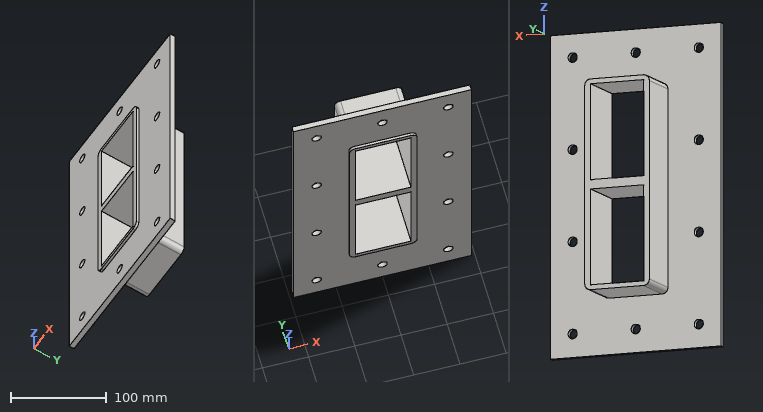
import cadquery as cq

plate_width = 192.5
plate_height = 344.0
plate_thickness = 6.2

duct_depth = 60.0
duct_front_lip = 3.0
window_width = 60.0
window_height = 101.8
side_wall = 6.5
end_wall = 5.0
divider = 10.0
duct_corner_radius = 6.5
duct_width = window_width + 2 * side_wall
duct_height = 2 * window_height + divider + 2 * end_wall
window_offset = (window_height + divider) / 2

hole_diameter = 10.0
hole_edge_margin = 25.0
hole_x = plate_width / 2 - hole_edge_margin
hole_z = plate_height / 2 - hole_edge_margin
hole_row_pitch = 2 * hole_z / 3


def block(width, height, front, depth):
    """Box centred in X and Z, running from y = front toward +Y."""
    return cq.Workplane("XY").box(width, depth, height).translate((0, front + depth / 2, 0))


def mounting_holes():
    """Three holes along the top and bottom edges, two more on each side."""
    points = []
    for row in range(4):
        z = -hole_z + row * hole_row_pitch
        points += [(-hole_x, z), (hole_x, z)]
    points += [(0, -hole_z), (0, hole_z)]
    cutter = cq.Workplane("XZ").pushPoints(points).circle(hole_diameter / 2)
    return cutter.extrude(-duct_depth)


def windows():
    """The two rectangular openings through the full duct depth."""
    opening = block(window_width, window_height, 0, duct_depth)
    upper = opening.translate((0, 0, window_offset))
    lower = opening.translate((0, 0, -window_offset))
    return upper.union(lower)


plate = block(plate_width, plate_height, duct_front_lip, plate_thickness)
duct = block(duct_width, duct_height, 0, duct_depth).edges("|Y").fillet(duct_corner_radius)

result = plate.union(duct).cut(windows()).cut(mounting_holes())